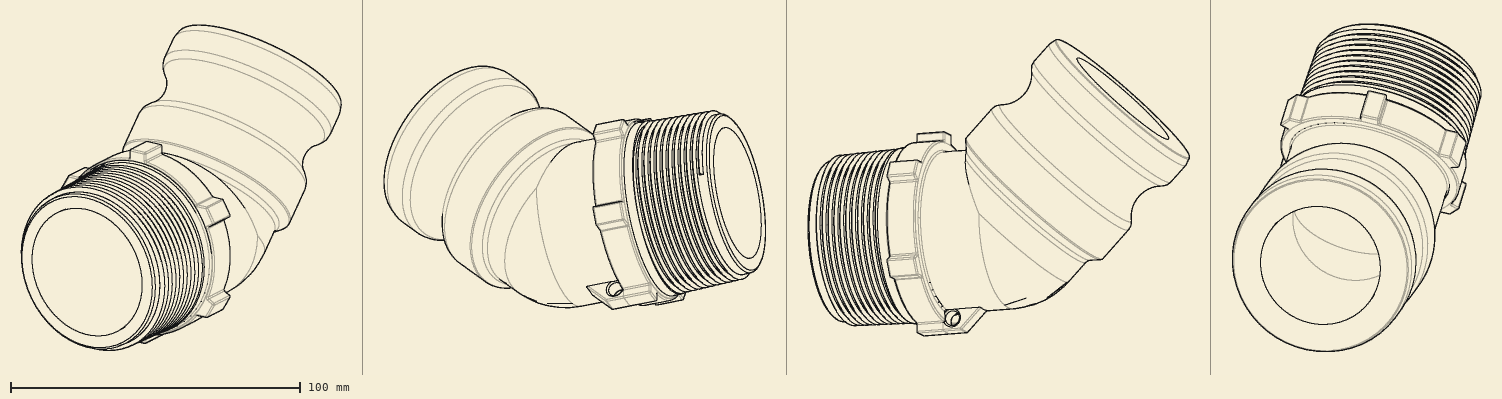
import cadquery as cq
import math

bend_y = 63.6
bend_angle = 45
pipe_radius = 55.9 / 2
coupling_bore_radius = 42.1 / 2
thread_bore_radius = 46 / 2

end_chamfer = 0.8
collar_radius = 61.0 / 2
collar_start = 27.0
ring_radius = 31.9
ring_start = 30.9
ring_end = 41.4
neck_rounding = 0.6
hub_radius = ring_radius - neck_rounding

ten_turns_length = 22.1
thread_pitch = ten_turns_length / 10
thread_start = 2.9
thread_start_angle = 165
thread_depth = 1.5
thread_base_width = 1.5
thread_sink = 0.4
taper_rate = 1 / 32
thread_taper = math.degrees(math.atan(taper_rate))

tab_tip = 35.1
tab_half_width = 3.3
tab_embedment = 1.3
tab_root = pipe_radius - tab_embedment
side_tab_angle = 30
side_tab_flat_z = 20.3
tab_rounding = 0.5

lug_tip_y = 47.4
lug_hole_radius = 5.1 / 2
lug_hole_y = 44.0
lug_hole_z = -30.8
lug_hole_chamfer = 0.6

coupling_radius = 63.0 / 2
coupling_length = 60.1
face_radius = 30.8
face_taper_length = 2.8
face_edge_rounding = 0.4
back_edge = 13.7
back_edge_rounding = 0.8
back_root_rounding = 2.5
groove_centre = 38.4
groove_radius = 11.1
groove_floor_radius = 26.5
groove_edge_rounding = 3.7


def core_radius(y):
    """Radius of the tapered thread core at a distance from the end face."""
    return pipe_radius + (y - end_chamfer) * taper_rate


def revolved(profile):
    return profile.close().revolve(360, (0, 0, 0), (0, 1, 0))


def on_coupling_leg(body):
    """Move a body built along +Y from the origin onto the tilted axis."""
    return body.rotate((0, 0, 0), (1, 0, 0), bend_angle).translate((0, bend_y, 0))


def ball(radius):
    return cq.Workplane("YZ", origin=(0, bend_y, 0)).sphere(radius)


def circles_at(y):
    """Selector of the edges lying flat at one distance along +Y."""
    reach = 2 * coupling_radius
    slack = 0.1
    low = (-reach, y - slack, -reach)
    high = (reach, y + slack, reach)
    return cq.selectors.BoxSelector(low, high, boundingbox=True)


def thread_ridge():
    """Helical V ridge that runs from near the end face to beyond the collar face."""
    root = core_radius(thread_start)
    height = collar_start + thread_pitch - thread_start
    helix = cq.Wire.makeHelix(thread_pitch, height, root, angle=thread_taper)
    ridge = (
        cq.Workplane("XZ")
        .moveTo(root - thread_sink, -thread_base_width / 2)
        .lineTo(root, -thread_base_width / 2)
        .lineTo(root + thread_depth, 0)
        .lineTo(root, thread_base_width / 2)
        .lineTo(root - thread_sink, thread_base_width / 2)
        .close()
        .sweep(cq.Workplane(helix), isFrenet=True)
    )
    return (
        ridge.rotate((0, 0, 0), (0, 0, 1), thread_start_angle)
        .rotate((0, 0, 0), (1, 0, 0), -90)
        .translate((0, thread_start, 0))
    )


def threaded_end():
    """Tapered core with its thread, cut off square at the collar face."""
    core_end = ring_start
    core = revolved(
        cq.Workplane("XY")
        .lineTo(pipe_radius - end_chamfer, 0)
        .lineTo(pipe_radius, end_chamfer)
        .lineTo(core_radius(core_end), core_end)
        .lineTo(0, core_end)
    )
    envelope = cq.Workplane("XZ").circle(ring_radius).extrude(-collar_start)
    return core.union(thread_ridge()).intersect(envelope)


def collar_and_pipe():
    """Collar, ring hub and plain pipe between the thread and the bend."""
    body = revolved(
        cq.Workplane("XY")
        .moveTo(0, collar_start)
        .lineTo(collar_radius, collar_start)
        .lineTo(collar_radius, ring_start)
        .lineTo(hub_radius, ring_start)
        .lineTo(hub_radius, ring_end)
        .lineTo(pipe_radius, ring_end)
        .lineTo(pipe_radius, bend_y)
        .lineTo(0, bend_y)
    )
    for y in (ring_start, ring_end):
        neck = cq.selectors.RadiusNthSelector(0)
        body = body.edges(circles_at(y)).edges(neck).fillet(neck_rounding)
    return body


def coupling_leg():
    groove_axis_offset = groove_floor_radius + groove_radius - coupling_radius
    groove_half_width = math.sqrt(groove_radius**2 - groove_axis_offset**2)
    groove_start = groove_centre - groove_half_width
    groove_end = groove_centre + groove_half_width
    step = coupling_radius - pipe_radius
    profile = (
        cq.Workplane("XY")
        .lineTo(pipe_radius, 0)
        .lineTo(pipe_radius, back_edge - step)
        .lineTo(coupling_radius, back_edge)
        .lineTo(coupling_radius, groove_start)
        .threePointArc((groove_floor_radius, groove_centre), (coupling_radius, groove_end))
        .lineTo(coupling_radius, coupling_length - face_taper_length)
        .lineTo(face_radius, coupling_length)
        .lineTo(0, coupling_length)
    )
    body = revolved(profile)
    for y, rounding in (
        (back_edge - step, back_root_rounding),
        (back_edge, back_edge_rounding),
        (groove_start, groove_edge_rounding),
        (groove_end, groove_edge_rounding),
        (coupling_length, face_edge_rounding),
    ):
        body = body.edges(circles_at(y)).fillet(rounding)
    return on_coupling_leg(body)


def ring_prism(outline):
    """Extrude a closed XZ outline over the width of the ring."""
    return outline.extrude(ring_start - ring_end).translate((0, ring_start, 0))


def top_tab():
    middle = (tab_root + tab_tip) / 2
    outline = cq.Workplane("XZ").center(0, middle).rect(2 * tab_half_width, tab_tip - tab_root)
    return ring_prism(outline)


def side_tab():
    """Tab above +X: a lower side along its radius and a horizontal upper side."""
    cos = math.cos(math.radians(side_tab_angle))
    sin = math.sin(math.radians(side_tab_angle))

    def point(along, across):
        return (along * cos - across * sin, along * sin + across * cos)

    def flat_across(along):
        return (side_tab_flat_z - along * sin) / cos

    corners = [
        point(tab_root, -tab_half_width),
        point(tab_tip, -tab_half_width),
        point(tab_tip, flat_across(tab_tip)),
        point(tab_root, flat_across(tab_root)),
    ]
    return ring_prism(cq.Workplane("XZ").polyline(corners).close())


def tabbed_ring():
    ring = ring_prism(cq.Workplane("XZ").circle(ring_radius))
    upright_tab = top_tab()
    right_tab = side_tab()
    for tab in (upright_tab, right_tab, right_tab.mirror("YZ")):
        ring = ring.union(tab).union(tab.mirror("XY"))
    ring = ring.edges("|Y").fillet(tab_rounding)
    return ring.faces("<Y or >Y").edges().fillet(tab_rounding)


def lug():
    """Bottom tab drawn out along the pipe, with a sloping end and a cross hole."""
    slope = tab_tip - tab_root
    body = (
        cq.Workplane("YZ")
        .moveTo(ring_start, -tab_root)
        .lineTo(ring_start, -tab_tip)
        .lineTo(lug_tip_y, -tab_tip)
        .lineTo(lug_tip_y + slope, -tab_root)
        .close()
        .extrude(tab_half_width, both=True)
        .edges()
        .fillet(tab_rounding)
    )
    hole = (
        cq.Workplane("YZ")
        .center(lug_hole_y, lug_hole_z)
        .circle(lug_hole_radius)
        .extrude(2 * tab_half_width, both=True)
    )
    mouth = (
        cq.Workplane("YZ", origin=(tab_half_width, 0, 0))
        .center(lug_hole_y, lug_hole_z)
        .circle(lug_hole_radius + lug_hole_chamfer)
        .workplane(offset=-lug_hole_chamfer)
        .circle(lug_hole_radius)
        .loft()
    )
    return body.cut(hole).cut(mouth).cut(mouth.mirror("YZ"))


def bore():
    entry = revolved(
        cq.Workplane("XY")
        .lineTo(thread_bore_radius, 0)
        .lineTo(coupling_bore_radius, bend_y)
        .lineTo(0, bend_y)
    )
    outlet = cq.Workplane("XZ").circle(coupling_bore_radius).extrude(-coupling_length)
    return entry.union(ball(coupling_bore_radius)).union(on_coupling_leg(outlet))


body = collar_and_pipe().union(ball(pipe_radius)).union(coupling_leg())
for piece in (tabbed_ring(), lug(), threaded_end()):
    body = body.union(piece, clean=False)
result = body.cut(bore(), clean=False)